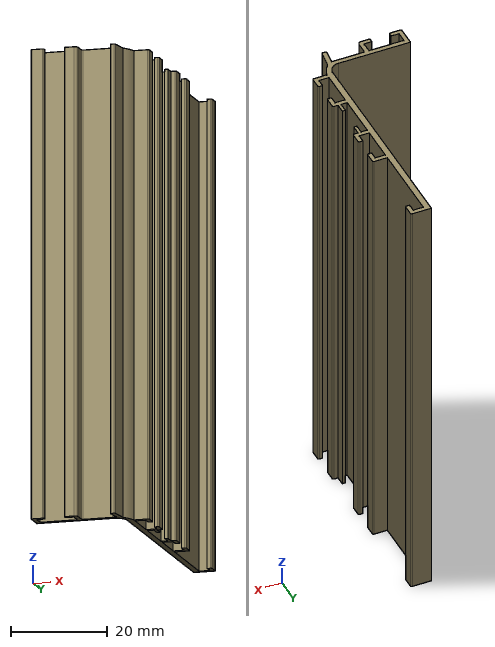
import cadquery as cq

width = 23.5
depth = 55.5
length = 100.0

wall_left = 18.8
wall_thickness = 1.4
wall_right = wall_left + wall_thickness

flange_top = 4.5
flange_thickness = 1.1
flange_bottom = flange_top - flange_thickness

hook_thickness = 1.0
hook_height = 2.8
hook_rounding = 0.3
flange_hook_gap = 4.4
second_leg_right = 2 * hook_height + flange_hook_gap
second_leg_rounding = 0.7
second_leg_root_radius = 0.3

top_hook = depth
second_hook = 36.7
third_hook = 26.8
fourth_hook = 16.9
bottom_hook = 6.9

rib_thickness = 0.7
rib_left = 21.6
rib_height = 2.1

corner_inner_radius = 2.3
corner_outer_radius = 7.0
corner_x = wall_left - corner_inner_radius
corner_y = flange_top + corner_inner_radius

fin_tip_left = 17.1
fin_tip_right = 18.2
fin_root_left = 17.5
fin_root_right = 18.7
fin_root_height = 4.0
fin_rounding = 0.3


def box(x_start, x_end, y_start, y_end):
    """Full-length bar over the given X and Y range, limits in either order."""
    center_x = (x_start + x_end) / 2
    center_y = (y_start + y_end) / 2
    bar = cq.Workplane("XY").center(center_x, center_y)
    return bar.rect(abs(x_end - x_start), abs(y_end - y_start)).extrude(length)


def wall_hook(outer_y, direction):
    """Hook on the wall; its lip points along Y in the given direction (+1 or -1)."""
    leg = box(wall_left, width, outer_y, outer_y + direction * hook_thickness)
    lip = box(width - hook_thickness, width, outer_y, outer_y + direction * hook_height)
    return leg.union(lip).edges("|Z and >X").fillet(hook_rounding)


def flange_hook(outer_x, direction, outer_rounding):
    """Hook under the flange; its lip points along X in the given direction (+1 or -1)."""
    leg = box(outer_x, outer_x + direction * hook_thickness, 0, flange_top)
    lip = box(outer_x, outer_x + direction * hook_height, 0, hook_thickness)
    outer_side, tip_side = ("<X", ">X") if direction > 0 else (">X", "<X")
    hook = leg.union(lip)
    hook = hook.edges("|Z and <Y").edges(tip_side).fillet(hook_rounding)
    return hook.edges("|Z and <Y").edges(outer_side).fillet(outer_rounding)


def rib(base_y, direction):
    """Thin rib rising from a wall hook's leg along Y."""
    return box(rib_left, rib_left + rib_thickness, base_y, base_y + direction * rib_height)


def corner_and_fin():
    """Curved corner joining wall and flange, with the fin running down from it."""
    profile = (
        cq.Workplane("XY")
        .moveTo(fin_tip_left, 0)
        .lineTo(fin_tip_right, 0)
        .lineTo(fin_root_right, fin_root_height)
        .radiusArc((wall_right, bottom_hook), -corner_outer_radius)
        .lineTo(wall_left, bottom_hook)
        .lineTo(wall_left, corner_y)
        .radiusArc((corner_x, flange_top), corner_inner_radius)
        .lineTo(corner_x, flange_bottom)
        .lineTo(fin_root_left, flange_bottom)
        .close()
    )
    return profile.extrude(length).edges("|Z and <Y").fillet(fin_rounding)


wall = box(wall_left, wall_right, bottom_hook, depth)
flange = box(0, fin_root_left, flange_bottom, flange_top)

profile_bar = (
    wall.union(flange)
    .union(corner_and_fin())
    .union(wall_hook(top_hook, -1))
    .union(wall_hook(second_hook, -1))
    .union(wall_hook(third_hook, 1))
    .union(wall_hook(fourth_hook, -1))
    .union(wall_hook(bottom_hook, 1))
    .union(rib(third_hook, -1))
    .union(rib(fourth_hook, 1))
    .union(flange_hook(0, 1, hook_rounding))
    .union(flange_hook(second_leg_right, -1, second_leg_rounding))
)

root_point = (second_leg_right, flange_bottom, length / 2)
root_edge = cq.selectors.NearestToPointSelector(root_point)
result = profile_bar.edges("|Z").edges(root_edge).fillet(second_leg_root_radius)